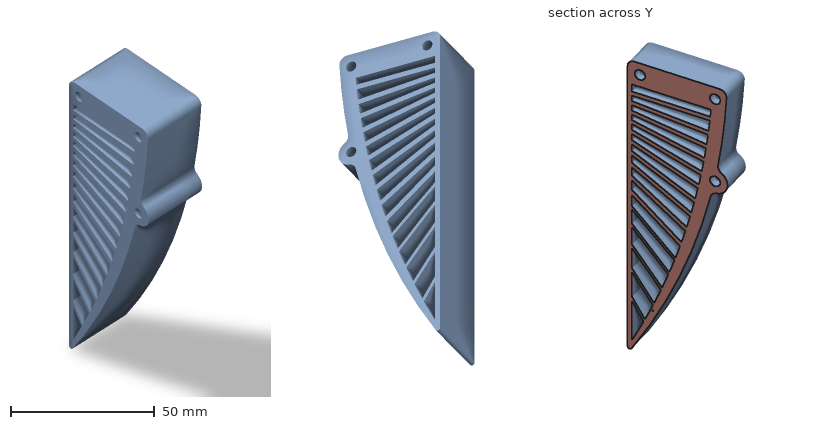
import cadquery as cq

height = 123.4
depth = 25.8
top_width = 39.7
corner_radius = 3.0

edge_mid_height = 61.7
edge_mid_width = 29.4
tip_radius = 0.95
sharp_tip_drop = 2.3

hole_diameter = 4.0
hole_inset = 5.0
right_hole_x = 34.9
boss_radius = hole_inset
boss_z = 83.3
boss_blend_radius = 3.0

wall = 2.0
opening_top = 113.1
opening_top_width = 33.2
opening_mid_width = 24.0
opening_bottom = 4.6

thick_rib = 2.0
thin_rib = 1.2
thick_ribs = [
    (109.3, 0), (105.2, 4.2), (101.2, 8.1), (97.1, 12.2), (92.9, 16.4),
    (88.5, 20.2), (83.8, 24.9), (78.7, 29.1), (73.2, 33.7), (67.0, 38.3),
]
thin_ribs = [(60.5, 43.1), (52.9, 46.6), (44.0, 50.2), (33.8, 53.5), (21.6, 57.0)]
rib_length = 2 * top_width


def front_plane():
    """XZ sketch plane whose extrusions run toward +Y."""
    return cq.Workplane("XZ")


def make_body():
    body = (
        front_plane()
        .moveTo(0, -sharp_tip_drop)
        .lineTo(0, height)
        .lineTo(top_width, height)
        .threePointArc((edge_mid_width, edge_mid_height), (0, -sharp_tip_drop))
        .close()
        .extrude(-depth)
    )
    body = body.edges("|Y and >Z").fillet(corner_radius)
    body = body.edges("|Y and <Z").fillet(tip_radius)
    boss = front_plane().center(right_hole_x, boss_z).circle(boss_radius).extrude(-depth)
    body = body.union(boss)

    reach = 2 * boss_radius
    boss_zone = cq.selectors.BoxSelector(
        (right_hole_x - reach, -1.2, boss_z - reach),
        (right_hole_x + reach, depth + 1.2, boss_z + reach),
    )
    return body.edges("|Y").edges(boss_zone).fillet(boss_blend_radius)


def make_rib(wall_z, angle, thickness):
    """Straight rib centred on the wall's inner face at the given height."""
    return (
        cq.Workplane("XY")
        .box(rib_length, depth, thickness, centered=(True, False, True))
        .rotate((0, 0, 0), (0, 1, 0), angle)
        .translate((wall, 0, wall_z))
    )


def make_windows():
    windows = (
        front_plane()
        .moveTo(wall, opening_bottom)
        .lineTo(wall, opening_top)
        .lineTo(opening_top_width, opening_top)
        .threePointArc((opening_mid_width, edge_mid_height), (wall, opening_bottom))
        .close()
        .extrude(-depth)
    )
    for ribs, thickness in ((thick_ribs, thick_rib), (thin_ribs, thin_rib)):
        for wall_z, angle in ribs:
            windows = windows.cut(make_rib(wall_z, angle, thickness))
    return windows


def make_holes():
    top_hole_z = height - hole_inset
    centers = [(hole_inset, top_hole_z), (right_hole_x, top_hole_z), (right_hole_x, boss_z)]
    return front_plane().pushPoints(centers).circle(hole_diameter / 2).extrude(-depth)


result = make_body().cut(make_windows()).cut(make_holes())